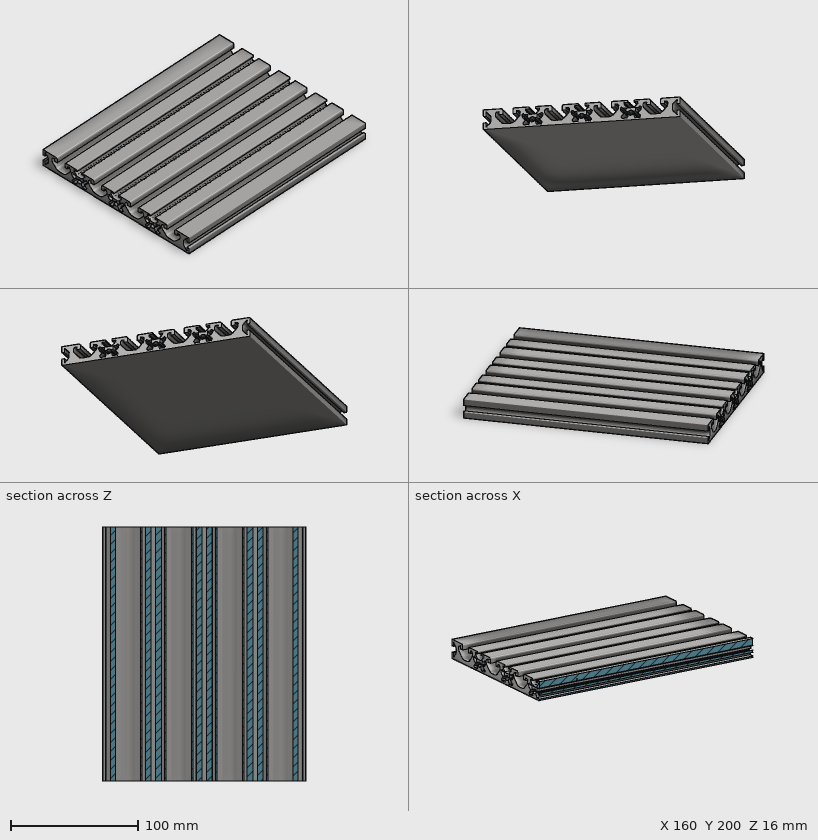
import cadquery as cq
import math

WIDTH = 160.0
LENGTH = 200.0
HEIGHT = 16.0
PITCH = 40.0
CORNER_RADIUS = 0.5

WIDE_COUNT = 4
WIDE_OPENING = 8.2
WIDE_HALF_OPENING = WIDE_OPENING / 2
WIDE_LIP_DEPTH = 4.5
WIDE_HOOK_HALF = 7.2
WIDE_HOOK_DEPTH = 2.5
WIDE_POCKET = 20.2
WIDE_HALF_POCKET = WIDE_POCKET / 2
WIDE_HALF_FLOOR = 4.0
WIDE_FLOOR_DEPTH = 12.5
WIDE_MOUTH_RADIUS = 1.5
WIDE_HOOK_RADIUS = 2.0
WIDE_FLOOR_RADIUS = 5.0
WIDE_WALL_RADIUS = 4.0

NARROW_COUNT = WIDE_COUNT - 1
NARROW_HALF_OPENING = 2.5
NARROW_HALF_FLOOR = 2.5
NARROW_FLOOR_DEPTH = 6.2
NARROW_MOUTH_RADIUS = 0.8
NARROW_FLOOR_RADIUS = 2.5
TOP_LIP_DEPTH = 1.5
TOP_HALF_POCKET = 5.5
SIDE_LIP_DEPTH = 2.5
SIDE_HALF_POCKET = 6.0

SCREW_RADIUS = 2.0
SCREW_HEIGHT = 5.8
BRIDGE_HALF_WIDTH = 3.8
BRIDGE_BOTTOM = 6.8
BRIDGE_TOP = 9.8
CORE_FLOOR = 1.5
SCREW_SEAT_TOP = 5.5
SCREW_SEAT_HALF_TOP = 1.8
SCREW_SEAT_HALF_BASE = 3.2
UPPER_ARM_TIP = [(6.5, BRIDGE_TOP), (7.5, 10.8), (8.5, 10.0)]
UPPER_ARM_WALL_MIDDLE = (7.5, 7.2)
NUB = (5.5, 5.8)
LOWER_ARM_TIP = [(6.0, 5.0), (7.0, 4.0), (7.8, 2.8), (7.0, CORE_FLOOR)]

PICK_TOLERANCE = 0.02


def prism(profile):
    """Extrude a closed XZ profile over the full length, centred on Y."""
    return profile.extrude(LENGTH / 2, both=True)


def mirrored_prism(half):
    """Extrude a right-hand half outline together with its mirror image."""
    points = half + [(-x, z) for x, z in reversed(half)]
    return prism(cq.Workplane("XZ").polyline(points).close())


def round_corners(solid, x, z, radius):
    """Round the two lengthwise edges at +x and -x at height z."""
    for side in (-x, x):
        box = cq.selectors.BoxSelector(
            (side - PICK_TOLERANCE, -LENGTH, z - PICK_TOLERANCE),
            (side + PICK_TOLERANCE, LENGTH, z + PICK_TOLERANCE),
        )
        solid = solid.edges("|Y").edges(box).fillet(radius)
    return solid


def flared_mouth(half_opening, radius):
    """Cutter at Z = 0 that leaves rounded edges along a slot opening."""
    mid = radius * (1 - math.sqrt(0.5))
    profile = (
        cq.Workplane("XZ")
        .moveTo(-half_opening - radius, 0)
        .threePointArc((-half_opening - mid, -mid), (-half_opening, -radius))
        .lineTo(half_opening, -radius)
        .threePointArc((half_opening + mid, -mid), (half_opening + radius, 0))
        .close()
    )
    return prism(profile)


def wide_slot():
    """Hooked T-slot with its mouth at Z = 0 and 45 degree sides down to a rounded floor."""
    wall_end_depth = WIDE_FLOOR_DEPTH - (WIDE_HALF_POCKET - WIDE_HALF_FLOOR)
    slot = mirrored_prism([
        (WIDE_HALF_OPENING, 0),
        (WIDE_HALF_OPENING, -WIDE_LIP_DEPTH),
        (WIDE_HOOK_HALF, -WIDE_LIP_DEPTH),
        (WIDE_HOOK_HALF, -WIDE_HOOK_DEPTH),
        (WIDE_HALF_POCKET, -WIDE_HOOK_DEPTH),
        (WIDE_HALF_POCKET, -wall_end_depth),
        (WIDE_HALF_FLOOR, -WIDE_FLOOR_DEPTH),
    ])
    slot = round_corners(slot, WIDE_HALF_POCKET, -wall_end_depth, WIDE_WALL_RADIUS)
    slot = round_corners(slot, WIDE_HALF_POCKET, -WIDE_HOOK_DEPTH, WIDE_HOOK_RADIUS)
    slot = round_corners(slot, WIDE_HALF_FLOOR, -WIDE_FLOOR_DEPTH, WIDE_FLOOR_RADIUS)
    return slot.union(flared_mouth(WIDE_HALF_OPENING, WIDE_MOUTH_RADIUS))


def narrow_slot(lip_depth, half_pocket):
    """Plain T-slot with its mouth at Z = 0 and 45 degree sides down to a rounded floor."""
    shoulder_depth = NARROW_FLOOR_DEPTH - (half_pocket - NARROW_HALF_FLOOR)
    slot = mirrored_prism([
        (NARROW_HALF_OPENING, 0),
        (NARROW_HALF_OPENING, -lip_depth),
        (half_pocket, -lip_depth),
        (half_pocket, -shoulder_depth),
        (NARROW_HALF_FLOOR, -NARROW_FLOOR_DEPTH),
    ])
    slot = round_corners(slot, NARROW_HALF_FLOOR, -NARROW_FLOOR_DEPTH, NARROW_FLOOR_RADIUS)
    return slot.union(flared_mouth(NARROW_HALF_OPENING, NARROW_MOUTH_RADIUS))


def core_half():
    """Right-hand arms of the hollow core, from its middle plane outwards."""
    profile = (
        cq.Workplane("XZ")
        .moveTo(0, BRIDGE_BOTTOM)
        .lineTo(BRIDGE_HALF_WIDTH, BRIDGE_BOTTOM)
        .lineTo(BRIDGE_HALF_WIDTH, BRIDGE_TOP)
    )
    for point in UPPER_ARM_TIP:
        profile = profile.lineTo(*point)
    profile = profile.threePointArc(UPPER_ARM_WALL_MIDDLE, NUB)
    for point in LOWER_ARM_TIP:
        profile = profile.lineTo(*point)
    profile = (
        profile
        .lineTo(SCREW_SEAT_HALF_BASE, CORE_FLOOR)
        .lineTo(SCREW_SEAT_HALF_TOP, SCREW_SEAT_TOP)
        .lineTo(0, SCREW_SEAT_TOP)
        .close()
    )
    return prism(profile)


def core():
    arms = core_half()
    screw_hole = prism(cq.Workplane("XZ").center(0, SCREW_HEIGHT).circle(SCREW_RADIUS))
    return screw_hole.union(arms).union(arms.mirror("YZ"))


def centred_row(count):
    """X places of a row of features at the common pitch, centred on the part."""
    return [(i - (count - 1) / 2) * PITCH for i in range(count)]


result = cq.Workplane("XY").box(WIDTH, LENGTH, HEIGHT, centered=(True, True, False))
result = result.edges("|Y").fillet(CORNER_RADIUS)

for x in centred_row(WIDE_COUNT):
    result = result.cut(wide_slot().translate((x, 0, HEIGHT)))

top_slot = narrow_slot(TOP_LIP_DEPTH, TOP_HALF_POCKET)
for x in centred_row(NARROW_COUNT):
    result = result.cut(top_slot.translate((x, 0, HEIGHT)))
    result = result.cut(core().translate((x, 0, 0)))

QUARTER_TURN = 90
for side in (-1, 1):
    side_slot = narrow_slot(SIDE_LIP_DEPTH, SIDE_HALF_POCKET)
    side_slot = side_slot.rotate((0, 0, 0), (0, 1, 0), side * QUARTER_TURN)
    result = result.cut(side_slot.translate((side * WIDTH / 2, 0, HEIGHT / 2)))